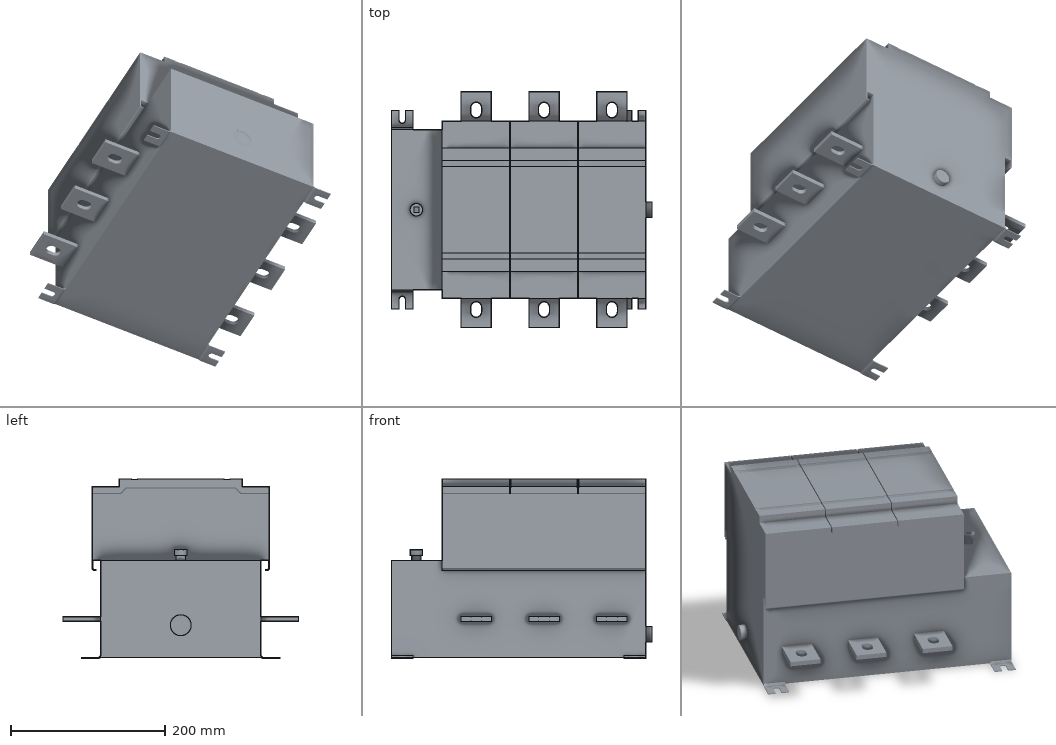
import cadquery as cq


body_length = 330.0
body_width = 207.5
body_bottom = 1.5
body_top = 127.5
half_body = body_width / 2

pole_count = 3
housing_length = 264.0
pole_pitch = housing_length / pole_count
housing_start = body_length - housing_length
housing_width = 230.0
half_housing = housing_width / 2

cover_top = 233.0
shoulder_top = 222.7
cover_edge_bottom = 214.0
cover_middle_bottom = 221.5
raised_width = 159.5
cover_slope_outer = 77.7
cover_slope_inner = 70.5
pole_gap = 1.5
strip_inner = 56.0
strip_outer = 64.0
strip_depth = 0.7

lip_bottom = 114.2
lip_thickness = 1.5
lip_return = 5.0
lip_bend_radius = 2.7

terminal_span = 306.0
terminal_width = 39.5
terminal_bottom = 48.5
terminal_thickness = 6.0
terminal_hole_width = 14.0
terminal_hole_length = 20.0
terminal_hole_inset = 23.5

foot_length = 28.0
foot_span = 257.5
foot_thickness = 1.5
foot_bend = 2.7
foot_slot_width = 8.0
foot_slot_depth = 16.5

button_x = 32.5
button_stem_diameter = 12.0
button_head_diameter = 16.2
button_head_bottom = 133.5
button_head_top = 141.3
button_socket_width = 6.8
button_socket_depth = 4.0

end_knob_diameter = 20.3
end_knob_length = 8.0
end_knob_z = 31.5
end_disc_diameter = 27.0
end_disc_depth = 0.5
end_disc_z = 43.3


def block(x_range, y_range, z_range):
    """Box filling the given ranges."""
    spans = [high - low for low, high in (x_range, y_range, z_range)]
    corner = (x_range[0], y_range[0], z_range[0])
    return cq.Workplane("XY").box(*spans, centered=False).translate(corner)


def extrude_along_x(points, start, length):
    """Closed outline of (y, z) points, extruded toward +X."""
    return cq.Workplane("YZ", origin=(start, 0, 0)).polyline(points).close().extrude(length)


def both_sides(solid):
    """The solid together with its mirror image across Y = 0."""
    return solid.union(solid.mirror("XZ"))


def symmetric_outline(half_points):
    """Full outline from its +Y half, listed from the middle outward and back."""
    return half_points + [(-y, z) for y, z in reversed(half_points)]


def make_housing():
    """Plain upper housing, with the seat for the covers as its top."""
    seat = symmetric_outline([
        (cover_slope_inner, cover_middle_bottom),
        (cover_slope_outer, cover_edge_bottom),
        (half_housing, cover_edge_bottom),
        (half_housing, body_top),
    ])
    return extrude_along_x(seat, housing_start, housing_length)


def make_covers():
    """One stepped cover per pole, with narrow gaps in between."""
    half_raised = raised_width / 2
    profile = symmetric_outline([
        (half_raised, cover_top),
        (half_raised, shoulder_top),
        (half_housing, shoulder_top),
        (half_housing, cover_edge_bottom),
        (cover_slope_outer, cover_edge_bottom),
        (cover_slope_inner, cover_middle_bottom),
    ])
    covers = extrude_along_x(profile, housing_start, housing_length)

    for pole in range(1, pole_count):
        boundary = housing_start + pole * pole_pitch
        covers = covers.cut(block(
            (boundary - pole_gap / 2, boundary + pole_gap / 2),
            (-half_housing, half_housing),
            (cover_edge_bottom, cover_top),
        ))

    strip = block(
        (housing_start, body_length),
        (strip_inner, strip_outer),
        (cover_top - strip_depth, cover_top),
    )
    return covers.cut(both_sides(strip))


def make_lips():
    """Thin skirts under the housing sides, bent inward at the bottom."""
    skirt = block(
        (housing_start, body_length),
        (half_housing - lip_return, half_housing),
        (lip_bottom, body_top),
    )
    skirt = skirt.edges("|X and >Y and <Z").fillet(lip_bend_radius)
    hollow = block(
        (housing_start, body_length),
        (half_housing - lip_return, half_housing - lip_thickness),
        (lip_bottom + lip_thickness, body_top),
    )
    hollow = hollow.edges("|X and >Y and <Z").fillet(lip_bend_radius - lip_thickness)
    return both_sides(skirt.cut(hollow))


def make_terminals():
    """A flat bar through the body at each pole, with a slotted hole at both ends."""
    bars = cq.Workplane("XY")
    hole_y = terminal_span / 2 - terminal_hole_inset
    for pole in range(pole_count):
        center_x = housing_start + (pole + 0.5) * pole_pitch
        bar = (
            cq.Workplane("XY", origin=(center_x, 0, terminal_bottom))
            .rect(terminal_width, terminal_span)
            .extrude(terminal_thickness)
            .faces(">Z").workplane()
            .pushPoints([(0, -hole_y), (0, hole_y)])
            .slot2D(terminal_hole_length, terminal_hole_width, 90)
            .cutThruAll()
        )
        bars = bars.add(bar)
    return bars.combine()


def make_feet():
    """Four thin slotted feet, each bent up to the lower edge of the body side."""
    half_span = foot_span / 2
    bend_end = half_body + foot_bend
    profile = [
        (half_body, body_bottom),
        (bend_end, 0),
        (half_span, 0),
        (half_span, foot_thickness),
        (bend_end, foot_thickness),
        (half_body, body_bottom + foot_bend),
    ]
    slot_radius = foot_slot_width / 2
    feet = cq.Workplane("XY")
    for start in (0, body_length - foot_length):
        center_x = start + foot_length / 2
        slot_end_y = half_span - foot_slot_depth + slot_radius
        slot = (
            cq.Workplane("XY")
            .moveTo(center_x - slot_radius, half_span)
            .lineTo(center_x - slot_radius, slot_end_y)
            .threePointArc((center_x, slot_end_y - slot_radius), (center_x + slot_radius, slot_end_y))
            .lineTo(center_x + slot_radius, half_span)
            .close()
            .extrude(foot_thickness)
        )
        feet = feet.add(both_sides(extrude_along_x(profile, start, foot_length).cut(slot)))
    return feet.combine()


def make_button():
    """Headed button with a square socket."""
    return (
        cq.Workplane("XY", origin=(button_x, 0, body_top))
        .circle(button_stem_diameter / 2)
        .extrude(button_head_bottom - body_top)
        .faces(">Z").workplane()
        .circle(button_head_diameter / 2)
        .extrude(button_head_top - button_head_bottom)
        .faces(">Z").workplane()
        .rect(button_socket_width, button_socket_width)
        .cutBlind(-button_socket_depth)
    )


body = block((0, body_length), (-half_body, half_body), (body_bottom, body_top))
end_disc = (
    cq.Workplane("YZ", origin=(0, 0, end_disc_z))
    .circle(end_disc_diameter / 2)
    .extrude(end_disc_depth)
)
end_knob = (
    cq.Workplane("YZ", origin=(body_length, 0, end_knob_z))
    .circle(end_knob_diameter / 2)
    .extrude(end_knob_length)
)

result = body.cut(end_disc)
additions = (
    make_housing().union(make_lips(), clean=True),
    make_terminals(),
    make_feet(),
    make_button(),
    end_knob,
    make_covers(),
)
for addition in additions:
    result = result.union(addition, clean=False)